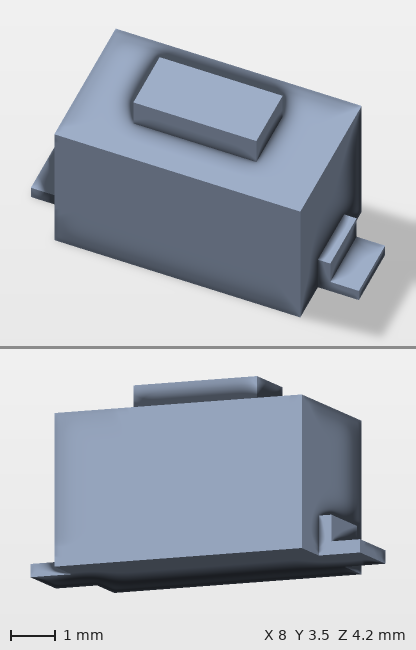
import cadquery as cq

overall_length = 8.0
overall_height = 4.2

body_length = 6.0
body_side = 3.5

button_length = body_length / 2
button_width = button_length / 2
button_height = overall_height - body_side

terminal_width = button_width
terminal_thickness = 0.3
terminal_height = 3 * terminal_thickness


def make_body():
    return cq.Workplane("XY").box(body_length, body_side, body_side, centered=(True, True, False))


def make_button():
    return (
        cq.Workplane("XY")
        .workplane(offset=body_side)
        .rect(button_length, button_width)
        .extrude(button_height)
    )


def make_terminal(side):
    """Terminal with its upright leg on the housing end; side is +1 or -1 along X."""
    inner_x = side * body_length / 2
    step_x = inner_x + side * terminal_thickness
    outer_x = side * overall_length / 2
    profile = [
        (inner_x, 0),
        (outer_x, 0),
        (outer_x, terminal_thickness),
        (step_x, terminal_thickness),
        (step_x, terminal_height),
        (inner_x, terminal_height),
    ]
    return cq.Workplane("XZ").polyline(profile).close().extrude(terminal_width / 2, both=True)


result = make_body().union(make_button())
for side in (-1, 1):
    result = result.union(make_terminal(side))